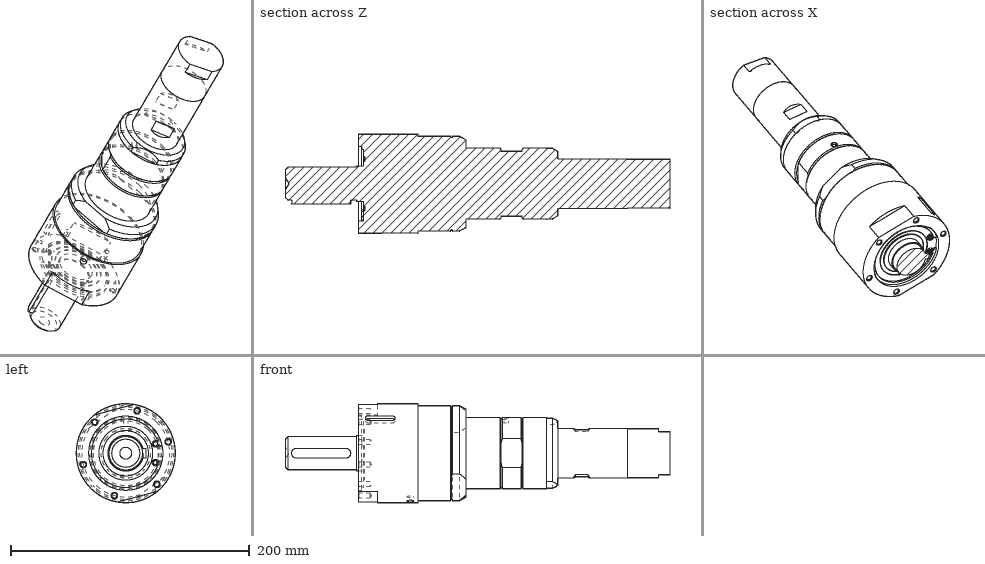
import cadquery as cq
import math

total_length = 322.0
tip_chamfer = 2.3
collar_start = 59.5
face_x = 61.2
housing_end = 111.0
clamp_ring_start = 138.0
clamp_ring_taper = 145.5
clamp_ring_end = 151.5
neck_start = 179.7
neck_end = 199.0
nut_start = 218.5
nut_taper = 223.5
nut_end = 228.0
spindle_step = 286.3

shaft_dia = 28.0
collar_dia = 30.0
housing_dia = 83.0
sleeve_dia = 80.0
clamp_ring_end_dia = 73.5
barrel_dia = 60.0
nut_end_dia = 54.0
spindle_dia = 41.5
joint_step = 0.2
nut_dia = barrel_dia - joint_step
spindle_end_dia = spindle_dia - joint_step

groove_width = 2.0
groove_depth = 1.3

key_width = 8.0
key_start = 5.0
key_length = 49.5
key_top = 17.0

center_hole_dia = 10.0
center_hole_angle = 118.0

recess_dia = 62.0
recess_depth = 4.2
ring_inner_dia = 57.3
ring_setback = 2.5
ring_gap = 13.0
lug_dia = 5.5
lug_hole_dia = 3.5
lug_radius = 26.0
lug_angle = 17.5
seal_outer_dia = 45.0
seal_inner_dia = 38.0
seal_groove_depth = 1.0

bolt_count = 6
bolt_circle_dia = 73.5
bolt_hole_dia = 4.2
bolt_mouth_dia = 5.5
bolt_hole_depth = 9.5
drill_point_angle = 118.0
index_angle = 15.0

housing_flat_dist = 37.7
housing_flat_length = 15.8
clamp_flat_dist = 35.0
clamp_flat_angle = 36.0
clamp_flat_start = 139.0
neck_flat_dist = 27.5
nut_flat_dist = 27.5
nut_flat_angle = 13.5
tail_flat_dist = 18.0
tail_flat_length = 9.5
window_flat_dist = 19.0
window_start = 242.8
window_length = 10.3
window_angle = 6.0

slot_width = 5.5
slot_start = 67.0
slot_length = 24.8
slot_angle = 45.0
slot_depth = 3.2
bottom_hole_x = 104.5
bottom_hole_dia = 5.5
bottom_hole_depth = 4.0
neck_hole_x = 184.8
neck_hole_dia = 5.0
neck_hole_depth = 1.5
neck_bore_dia = 3.5
neck_bore_depth = 4.8
cutter_overlap = 3.2


def disc(x, length, dia):
    """Cylinder along X that starts at x."""
    return cq.Workplane("YZ").workplane(offset=x).circle(dia / 2).extrude(length)


def turned(points):
    """Solid of revolution about the X axis from (x, radius) points."""
    return cq.Workplane("XY").polyline(points).close().revolve(360, (0, 0, 0), (1, 0, 0))


def turn(shape, angle):
    """Turn about X; a positive angle moves +Z towards +Y."""
    return shape.rotate((0, 0, 0), (1, 0, 0), -angle)


def flat_pair(x, length, distance, angle):
    """Material outside two parallel flats; at angle 0 they face +Z and -Z."""
    upper = cq.Workplane("XY").box(length, housing_dia, housing_dia, centered=(False, True, False))
    upper = upper.translate((x, 0, distance))
    return turn(upper.union(upper.rotate((0, 0, 0), (1, 0, 0), 180)), angle)


def v_groove(x, dia):
    """Ring with a triangular section, to be cut from a cylinder."""
    radius = dia / 2
    return turned([(x, radius), (x + groove_width, radius), (x + groove_width / 2, radius - groove_depth)])


def radial_hole(x, surface_radius, dia, depth, angle):
    """Blind hole towards the axis; at angle 0 it opens at +Z."""
    hole = cq.Workplane("XY").circle(dia / 2).extrude(depth + cutter_overlap)
    return turn(hole.translate((x, 0, surface_radius - depth)), angle)


def body():
    """Stepped outline with the annular recess and the seal groove in the mounting face."""
    tip_radius = shaft_dia / 2 - tip_chamfer
    recess_floor = face_x + recess_depth
    seal_floor = recess_floor + seal_groove_depth
    return turned([
        (0, 0),
        (0, tip_radius),
        (tip_chamfer, shaft_dia / 2),
        (collar_start, shaft_dia / 2),
        (collar_start, collar_dia / 2),
        (recess_floor, collar_dia / 2),
        (recess_floor, seal_inner_dia / 2),
        (seal_floor, seal_inner_dia / 2),
        (seal_floor, seal_outer_dia / 2),
        (recess_floor, seal_outer_dia / 2),
        (recess_floor, recess_dia / 2),
        (face_x, recess_dia / 2),
        (face_x, housing_dia / 2),
        (housing_end, housing_dia / 2),
        (housing_end, sleeve_dia / 2),
        (clamp_ring_taper, sleeve_dia / 2),
        (clamp_ring_end, clamp_ring_end_dia / 2),
        (clamp_ring_end, barrel_dia / 2),
        (nut_start, barrel_dia / 2),
        (nut_start, nut_dia / 2),
        (nut_taper, nut_dia / 2),
        (nut_end, nut_end_dia / 2),
        (nut_end, spindle_dia / 2),
        (spindle_step, spindle_dia / 2),
        (spindle_step, spindle_end_dia / 2),
        (total_length, spindle_end_dia / 2),
        (total_length, 0),
    ])


def shaft_key():
    """Round-ended key that stands out towards -Y."""
    profile = cq.Workplane("XZ").center(key_start + key_length / 2, 0)
    return profile.slot2D(key_length, key_width).extrude(key_top)


def center_hole():
    """Conical centre in the shaft tip."""
    radius = center_hole_dia / 2
    depth = radius / math.tan(math.radians(center_hole_angle / 2))
    return turned([(0, 0), (0, radius), (depth, 0)])


def retaining_ring():
    """Split ring with two drilled lugs beside its gap, which faces -Y."""
    x = face_x + ring_setback
    depth = recess_depth - ring_setback
    ring = disc(x, depth, recess_dia).cut(disc(x, depth, ring_inner_dia))
    lug_places = []
    for side in (-1, 1):
        angle = math.radians(lug_angle * side)
        lug_places.append((-lug_radius * math.cos(angle), lug_radius * math.sin(angle)))
    gap = cq.Workplane("XY").box(depth, recess_dia, ring_gap, centered=(False, False, True))
    ring = ring.cut(gap.translate((x, -recess_dia, 0)))
    lugs = cq.Workplane("YZ").workplane(offset=x).pushPoints(lug_places)
    ring = ring.union(lugs.circle(lug_dia / 2).extrude(depth))
    return ring.cut(lugs.circle(lug_hole_dia / 2).extrude(depth))


def bolt_holes():
    """Ring of countersunk blind holes with drilled points."""
    radius = bolt_hole_dia / 2
    mouth_radius = bolt_mouth_dia / 2
    point = radius / math.tan(math.radians(drill_point_angle / 2))
    hole = turned([
        (face_x, 0),
        (face_x, mouth_radius),
        (face_x + mouth_radius - radius, radius),
        (face_x + bolt_hole_depth, radius),
        (face_x + bolt_hole_depth + point, 0),
    ]).translate((0, 0, bolt_circle_dia / 2))
    holes = cq.Workplane("XY")
    for i in range(bolt_count):
        holes = holes.union(turn(hole, i * 360 / bolt_count - index_angle))
    return holes


def housing_slot():
    """Round-ended slot on the side between +Z and -Y."""
    profile = cq.Workplane("XY").center(slot_start + slot_length / 2, 0)
    slot = profile.slot2D(slot_length, slot_width).extrude(slot_depth + cutter_overlap)
    return turn(slot.translate((0, 0, housing_dia / 2 - slot_depth)), -slot_angle)


def spindle_windows():
    """Two opposite shallow flats whose end walls slope at 45 degrees."""
    rise = spindle_dia / 2 - window_flat_dist
    bottom = window_flat_dist
    top = spindle_dia / 2
    end = window_start + window_length
    section = [(window_start, bottom), (end, bottom), (end + rise, top), (window_start - rise, top)]
    window = cq.Workplane("XZ").polyline(section).close().extrude(spindle_dia / 2, both=True)
    return turn(window.union(window.mirror("XY")), window_angle)


result = body().union(shaft_key())

result = result.cut(center_hole()).union(retaining_ring()).cut(bolt_holes())

result = result.cut(v_groove(clamp_ring_start, sleeve_dia))
result = result.cut(v_groove(neck_start, barrel_dia))
result = result.cut(v_groove(neck_end - groove_width, barrel_dia))

result = result.cut(flat_pair(face_x, housing_flat_length, housing_flat_dist, index_angle))
clamp_flat_length = clamp_ring_end - clamp_flat_start
result = result.cut(flat_pair(clamp_flat_start, clamp_flat_length, clamp_flat_dist, clamp_flat_angle))
neck_flat_start = neck_start + groove_width / 2
neck_flat_length = neck_end - neck_start - groove_width
result = result.cut(flat_pair(neck_flat_start, neck_flat_length, neck_flat_dist, 90))
result = result.cut(flat_pair(nut_start, nut_end - nut_start, nut_flat_dist, nut_flat_angle))
result = result.cut(flat_pair(total_length - tail_flat_length, tail_flat_length, tail_flat_dist, 0))
result = result.cut(spindle_windows())

result = result.cut(housing_slot())
bottom_angle = 180 + index_angle
result = result.cut(
    radial_hole(bottom_hole_x, housing_dia / 2, bottom_hole_dia, bottom_hole_depth, bottom_angle)
)
result = result.cut(radial_hole(neck_hole_x, barrel_dia / 2, neck_hole_dia, neck_hole_depth, 0))
result = result.cut(radial_hole(neck_hole_x, barrel_dia / 2, neck_bore_dia, neck_bore_depth, 0))